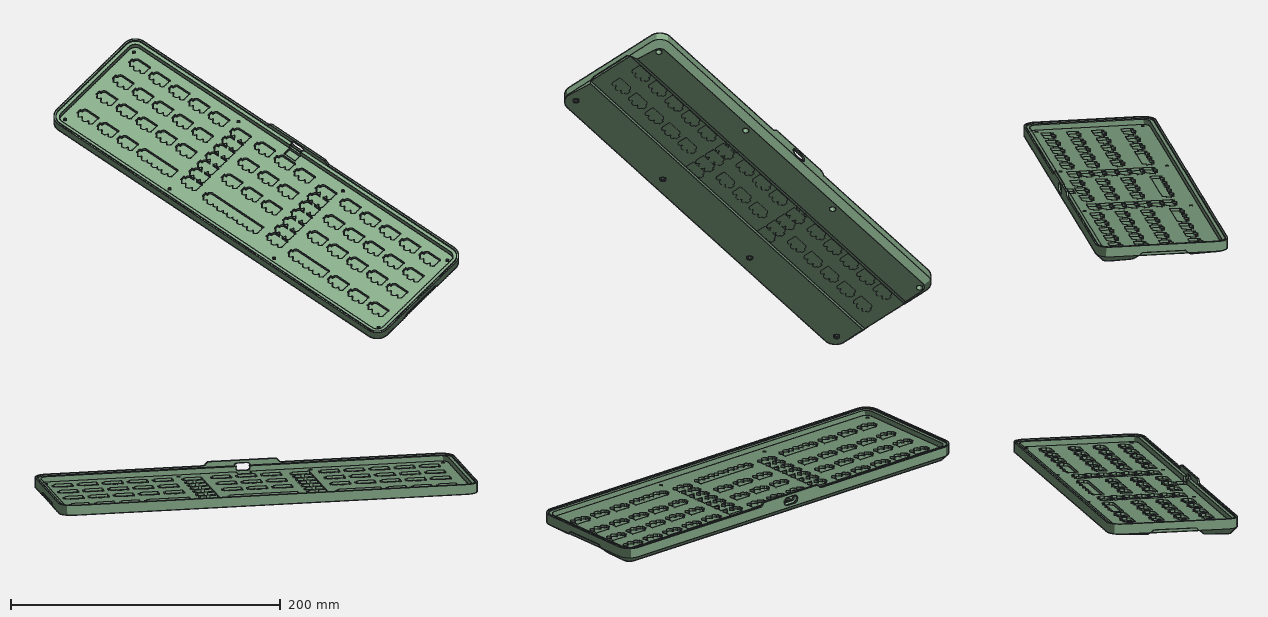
import cadquery as cq
import math

LENGTH = 317.75
WIDTH = 99.2
CORNER_RADIUS = 10.0
RIM_Z = 12.3
WALL_BOTTOM_Z = 4.85
TYPING_ANGLE = 3.0

LIP_THICKNESS = 1.5
LEDGE_Z = 11.3
CAVITY_INSET = 4.25
FLOOR_Z = 7.3
POCKET_DEPTH = 2.0

RELIEF_Z = 4.5
RELIEF_FRONT_Y = -19.2
RELIEF_REAR_Y = 19.0
RELIEF_FRONT_ANGLE = 45.0
RELIEF_REAR_ANGLE = 42.0

RECESS_TOP_Z = 6.8
RECESS_TOP_WIDTH = 32.4
RECESS_DEPTH = 0.5

TAB_TOP_Z = 15.3
TAB_BASE_WIDTH = 58.0

PORT_MOUTH_WIDTH = 13.0
PORT_MOUTH_HEIGHT = 6.4
PORT_MOUTH_TOP_Z = 13.2
PORT_FLARE = 1.2
PORT_FLARE_ANGLE = 45.0
WELL_WIDTH = PORT_MOUTH_WIDTH - 2 * PORT_FLARE
WELL_FRONT_Y = 38.8
WELL_DEPTH = 2.0

SCREW_PITCH_X = 100.4
SCREW_PITCH_Y = 80.2
SCREW_COLUMNS = 4
SCREW_ROWS = 2
SCREW_HOLE_DIAMETER = 2.2
SCREW_HEAD_DIAMETER = 4.6
SCREW_HEAD_TOP_Z = 5.4

KEY_PITCH = 19.05
BLOCK_GAP = 3.0
HALF_KEY = KEY_PITCH / 2
STEP_PITCH = KEY_PITCH + BLOCK_GAP
SIDE_BLOCK_KEYS = 5
COLUMN_SOCKETS = 7
FULL_ROWS = 3
COLUMN_X = KEY_PITCH + STEP_PITCH

SOCKET_RIGHT = 7.1
SOCKET_LEFT = -6.6
SOCKET_TOP = 7.15
SOCKET_BOTTOM = -0.1
SOCKET_CORNER = 2.4
PAD_LEFT = -8.3
PAD_CENTRE_Y = 2.3
PAD_WIDTH = 3.8
CENTRE_POST_RADIUS = 2.7
SIDE_POST_RADIUS = 1.75
SIDE_POST_OFFSET = 5.08

HALF_WIDTH = WIDTH / 2


def rounded_block(inset, bottom_z, top_z):
    """Block with the outline of the case moved inwards by inset."""
    return (
        cq.Workplane("XY", origin=(0, 0, bottom_z))
        .rect(LENGTH - 2 * inset, WIDTH - 2 * inset)
        .extrude(top_z - bottom_z)
        .edges("|Z")
        .fillet(CORNER_RADIUS - inset)
    )


def profile_along_x(points, length):
    """Y-Z profile extruded symmetrically about X = 0."""
    return cq.Workplane("YZ").polyline(points).close().extrude(length / 2, both=True)


def make_shell():
    """Walls over a 45 degree skirt, standing on a sloped underside."""
    shell = rounded_block(0, 0, RIM_Z).faces("<Z").chamfer(WALL_BOTTOM_Z)
    slope_end_y = WALL_BOTTOM_Z / math.tan(math.radians(TYPING_ANGLE)) - HALF_WIDTH
    below = profile_along_x(
        [(slope_end_y, 0), (-HALF_WIDTH, WALL_BOTTOM_Z), (-HALF_WIDTH, 0)],
        LENGTH,
    )
    return shell.cut(below)


def make_relief():
    """Flat channel between the feet with sloped sides."""
    front_run = RELIEF_Z / math.tan(math.radians(RELIEF_FRONT_ANGLE))
    rear_run = RELIEF_Z / math.tan(math.radians(RELIEF_REAR_ANGLE))
    return profile_along_x(
        [
            (RELIEF_FRONT_Y, RELIEF_Z),
            (RELIEF_REAR_Y, RELIEF_Z),
            (RELIEF_REAR_Y + rear_run, 0),
            (RELIEF_FRONT_Y - front_run, 0),
        ],
        LENGTH,
    )


def make_end_recesses():
    """Trapezoid recesses in the end walls, open at the bottom."""
    top_half = RECESS_TOP_WIDTH / 2
    bottom_half = top_half + RECESS_TOP_Z
    outline = [(-top_half, RECESS_TOP_Z), (top_half, RECESS_TOP_Z), (bottom_half, 0), (-bottom_half, 0)]
    full = profile_along_x(outline, LENGTH)
    return full.cut(profile_along_x(outline, LENGTH - 2 * RECESS_DEPTH))


def make_tab():
    """Raised tab on the rear wall with 45 degree ends."""
    base_half = TAB_BASE_WIDTH / 2
    top_half = base_half - (TAB_TOP_Z - RIM_Z)
    return (
        cq.Workplane("XZ", origin=(0, HALF_WIDTH, 0))
        .polyline([(-base_half, RIM_Z), (-top_half, TAB_TOP_Z), (top_half, TAB_TOP_Z), (base_half, RIM_Z)])
        .close()
        .extrude(LIP_THICKNESS)
    )


def make_port():
    """Flared slot through the rear wall and a shallow well in the floor in front of it."""
    centre_z = PORT_MOUTH_TOP_Z - PORT_MOUTH_HEIGHT / 2
    cavity_y = HALF_WIDTH - CAVITY_INSET

    def wall_slot(shrink, start_y):
        return cq.Workplane("XZ", origin=(0, start_y, centre_z)).slot2D(
            PORT_MOUTH_WIDTH - 2 * shrink, PORT_MOUTH_HEIGHT - 2 * shrink
        )

    lip_y = HALF_WIDTH - LIP_THICKNESS
    mouth = wall_slot(0, HALF_WIDTH).extrude(LIP_THICKNESS)
    flare = wall_slot(0, lip_y).extrude(PORT_FLARE, taper=PORT_FLARE_ANGLE)
    throat = wall_slot(PORT_FLARE, HALF_WIDTH).extrude(CAVITY_INSET)

    well_length = cavity_y - WELL_FRONT_Y
    well = (
        cq.Workplane("XY", origin=(0, WELL_FRONT_Y + well_length / 2, FLOOR_Z - WELL_DEPTH))
        .rect(WELL_WIDTH, well_length)
        .extrude(WELL_DEPTH)
    )
    return mouth.union(flare).union(throat).union(well)


def make_screw_holes():
    """Through holes with head counterbores in the underside."""

    def cylinders(diameter, height):
        return (
            cq.Workplane("XY")
            .rarray(SCREW_PITCH_X, SCREW_PITCH_Y, SCREW_COLUMNS, SCREW_ROWS)
            .circle(diameter / 2)
            .extrude(height)
        )

    return cylinders(SCREW_HOLE_DIAMETER, RIM_Z).union(cylinders(SCREW_HEAD_DIAMETER, SCREW_HEAD_TOP_Z))


def make_socket():
    """Clearance pocket of one key socket, centred on its key."""
    base = cq.Workplane("XY", origin=(0, 0, FLOOR_Z - POCKET_DEPTH))
    body = (
        base.moveTo(SOCKET_LEFT, SOCKET_BOTTOM)
        .lineTo(SOCKET_RIGHT, SOCKET_BOTTOM)
        .lineTo(SOCKET_RIGHT, SOCKET_TOP)
        .lineTo(SOCKET_LEFT + SOCKET_CORNER, SOCKET_TOP)
        .radiusArc((SOCKET_LEFT, SOCKET_TOP - SOCKET_CORNER), -SOCKET_CORNER)
        .close()
        .extrude(POCKET_DEPTH)
    )
    pad = base.center(PAD_LEFT / 2, PAD_CENTRE_Y).rect(-PAD_LEFT, PAD_WIDTH).extrude(POCKET_DEPTH)
    centre_post = base.circle(CENTRE_POST_RADIUS).extrude(POCKET_DEPTH)
    side_posts = (
        base.pushPoints([(-SIDE_POST_OFFSET, 0), (SIDE_POST_OFFSET, 0)])
        .circle(SIDE_POST_RADIUS)
        .extrude(POCKET_DEPTH)
    )
    return body.union(pad).union(centre_post).union(side_posts)


def key_run(first_x, last_x, pitch, y):
    """Socket centres from first_x to last_x along one row."""
    count = round((last_x - first_x) / pitch) + 1
    return [(first_x + i * pitch, y) for i in range(count)]


def socket_centres():
    """Socket centres; the wide and tall keys take one socket every half key."""
    inner_x = COLUMN_X + STEP_PITCH
    outer_x = inner_x + (SIDE_BLOCK_KEYS - 1) * KEY_PITCH
    wide_end_x = inner_x + KEY_PITCH
    top_y = (FULL_ROWS - 1) * KEY_PITCH / 2 + STEP_PITCH / 2
    bottom_y = -top_y

    centres = []
    for row in range(FULL_ROWS):
        y = top_y - row * KEY_PITCH
        centres += key_run(-outer_x, -inner_x, KEY_PITCH, y)
        centres += key_run(-KEY_PITCH, KEY_PITCH, KEY_PITCH, y)
        centres += key_run(inner_x, outer_x, KEY_PITCH, y)

    centres += key_run(-outer_x, -wide_end_x - KEY_PITCH, KEY_PITCH, bottom_y)
    centres += key_run(-wide_end_x, -inner_x, HALF_KEY, bottom_y)
    centres += key_run(-KEY_PITCH, KEY_PITCH, HALF_KEY, bottom_y)
    centres += key_run(inner_x, wide_end_x, HALF_KEY, bottom_y)
    centres += key_run(wide_end_x + KEY_PITCH, outer_x, KEY_PITCH, bottom_y)

    column_top_y = (COLUMN_SOCKETS - 1) * HALF_KEY / 2
    for x in (-COLUMN_X, COLUMN_X):
        centres += [(x, column_top_y - i * HALF_KEY) for i in range(COLUMN_SOCKETS)]
    return centres


def cut_sockets(body):
    """Cut every socket pocket into the floor."""
    socket = make_socket().val()
    for x, y in socket_centres():
        body = body.cut(cq.Workplane(socket.translate(cq.Vector(x, y, 0))))
    return body


case = make_shell().cut(make_relief()).cut(make_end_recesses())
case = case.cut(rounded_block(CAVITY_INSET, FLOOR_Z, RIM_Z))
case = case.cut(rounded_block(LIP_THICKNESS, LEDGE_Z, RIM_Z))
case = case.union(make_tab())
case = case.cut(make_port()).cut(make_screw_holes())
result = cut_sockets(case)